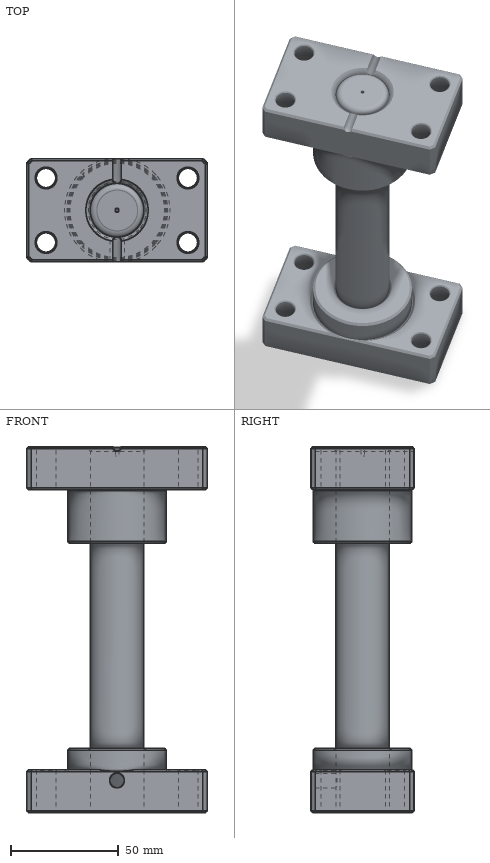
import cadquery as cq

plate_length = 84.0
plate_width = 48.0
plate_thickness = 20.0
corner_chamfer = 2.0
edge_chamfer = 1.0

bolt_hole_diameter = 9.0
bolt_hole_mouth_chamfer = 0.5
bolt_hole_mouth_angle = 90.0
bolt_spacing_x = 66.0
bolt_spacing_y = 30.0

pillar_diameter = 25.0
pillar_length = 170.0
pillar_end_round = 3.0
centre_hole_diameter = 1.8
centre_hole_depth = 4.0

hub_diameter = 46.0
lower_hub_height = 10.0
lower_hub_chamfer = 1.0
upper_hub_height = 25.0
upper_hub_chamfer = 1.0
neck_groove_size = 0.5
bore_mouth_chamfer = 1.0

relief_width = 1.5
relief_depth = 1.0
relief_floor_width = 0.5

clamp_hole_diameter = 6.8
clamp_hole_height = 15.0

flare_width = 2.0
oil_groove_radius = 2.0

assembly_height = 170.25
upper_plate_bottom = assembly_height - plate_thickness
upper_hub_bottom = upper_plate_bottom - upper_hub_height
lower_hub_top = plate_thickness + lower_hub_height
bolt_hole_mouth_diameter = bolt_hole_diameter + 2 * bolt_hole_mouth_chamfer
pillar_radius = pillar_diameter / 2
hub_radius = hub_diameter / 2
hub_overlap = plate_thickness / 2


def cylinder(diameter, bottom, height):
    """Upright cylinder on the pillar axis."""
    return cq.Workplane("XY").workplane(offset=bottom).circle(diameter / 2).extrude(height)


def revolved(points):
    """Solid of revolution about the pillar axis from (radius, height) points."""
    return cq.Workplane("XZ").polyline(points).close().revolve(360, (0, 0), (0, 1))


def bore_mouth(top, width):
    """45 degree conical cutter that widens the pillar bore at its upper end."""
    return revolved([
        (0, top),
        (pillar_radius + width, top),
        (pillar_radius, top - width),
        (0, top - width),
    ])


def make_plate(bottom):
    """Chamfered rectangular plate with four bolt holes."""
    plate = (
        cq.Workplane("XY")
        .workplane(offset=bottom)
        .rect(plate_length, plate_width)
        .extrude(plate_thickness)
        .edges("|Z")
        .chamfer(corner_chamfer)
        .faces("<Z or >Z")
        .edges()
        .chamfer(edge_chamfer)
    )
    return (
        plate.faces(">Z")
        .workplane(origin=(0, 0, 0))
        .rect(bolt_spacing_x, bolt_spacing_y, forConstruction=True)
        .vertices()
        .cskHole(bolt_hole_diameter, bolt_hole_mouth_diameter, bolt_hole_mouth_angle)
    )


def make_lower_block():
    """Plate with a low hub, a relief groove around the hub and a clamping hole."""
    relief = revolved([
        (hub_radius, plate_thickness),
        (hub_radius + relief_width, plate_thickness),
        (hub_radius + relief_floor_width, plate_thickness - relief_depth),
        (hub_radius, plate_thickness - relief_depth),
    ])
    hub = cylinder(hub_diameter, hub_overlap, lower_hub_top - hub_overlap)
    hub = hub.faces(">Z").edges().chamfer(lower_hub_chamfer)
    bore = cylinder(pillar_diameter, 0, lower_hub_top)
    mouth = bore_mouth(lower_hub_top, bore_mouth_chamfer)
    clamp_hole = (
        cq.Workplane("XZ")
        .center(0, clamp_hole_height)
        .circle(clamp_hole_diameter / 2)
        .extrude(plate_width / 2)
    )
    block = make_plate(0).cut(relief).union(hub)
    return block.cut(bore).cut(mouth).cut(clamp_hole)


def make_upper_block():
    """Plate with a long necked guide hub, a flared bore mouth and an oil groove on each side."""
    hub = cylinder(hub_diameter, upper_hub_bottom, upper_hub_height + hub_overlap)
    hub = hub.faces("<Z").edges().chamfer(upper_hub_chamfer)
    neck_groove = revolved([
        (hub_radius, upper_plate_bottom),
        (hub_radius, upper_plate_bottom - neck_groove_size),
        (hub_radius - neck_groove_size, upper_plate_bottom),
    ])
    bore = cylinder(pillar_diameter, upper_hub_bottom, assembly_height - upper_hub_bottom)
    flare = bore_mouth(assembly_height, flare_width)
    oil_groove = (
        cq.Workplane("XZ")
        .center(0, assembly_height)
        .circle(oil_groove_radius)
        .extrude(plate_width / 2, both=True)
    )
    return make_plate(upper_plate_bottom).union(hub).cut(neck_groove).cut(bore).cut(flare).cut(oil_groove)


def make_pillar():
    """Round-ended pillar with a centre hole in its upper end."""
    pillar = cylinder(pillar_diameter, 0, pillar_length).faces(">Z").edges().fillet(pillar_end_round)
    centre_hole = cylinder(centre_hole_diameter, pillar_length - centre_hole_depth, centre_hole_depth)
    return pillar.cut(centre_hole)


lower_block = make_lower_block()
upper_block = make_upper_block()
pillar = make_pillar()

result = cq.Compound.makeCompound([lower_block.val(), upper_block.val(), pillar.val()])